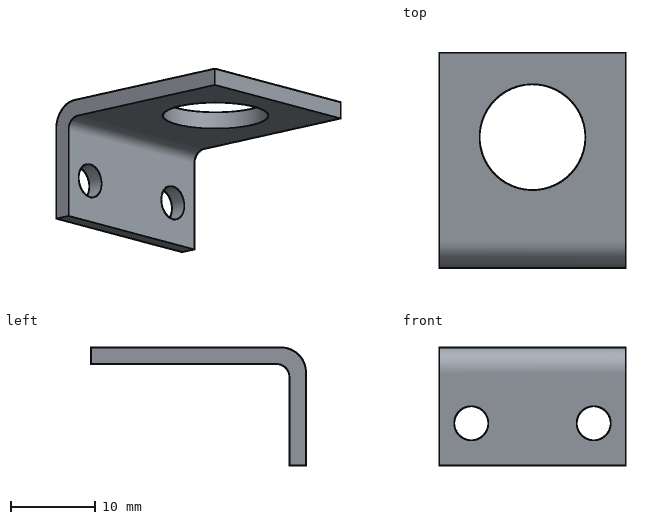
import cadquery as cq

width = 22.1
depth = 25.5
height = 14.0
thickness = 2.0

outer_bend_radius = 3.0
inner_bend_radius = 1.5

large_hole_diameter = 12.5
large_hole_from_back = 10.0

small_hole_diameter = 4.0
small_hole_spacing = 14.5
small_hole_from_bottom = 5.0

large_hole_y = depth - large_hole_from_back


def bent_plate():
    """L-shaped plate with a horizontal top leg and a vertical front leg, rounded at the bend."""
    profile = [
        (0, 0),
        (thickness, 0),
        (thickness, height - thickness),
        (depth, height - thickness),
        (depth, height),
        (0, height),
    ]
    plate = cq.Workplane("YZ").polyline(profile).close().extrude(width / 2, both=True)
    outer_corner = cq.NearestToPointSelector((0, 0, height))
    inner_corner = cq.NearestToPointSelector((0, thickness, height - thickness))
    plate = plate.edges("|X").edges(outer_corner).fillet(outer_bend_radius)
    return plate.edges("|X").edges(inner_corner).fillet(inner_bend_radius)


def large_hole():
    """Cutter for the hole through the horizontal leg."""
    return (
        cq.Workplane("XY", origin=(0, large_hole_y, height - thickness))
        .circle(large_hole_diameter / 2)
        .extrude(thickness)
    )


def small_holes():
    """Cutter for the two holes through the vertical leg."""
    centers = [(side * small_hole_spacing / 2, 0) for side in (-1, 1)]
    return (
        cq.Workplane("XZ", origin=(0, 0, small_hole_from_bottom))
        .pushPoints(centers)
        .circle(small_hole_diameter / 2)
        .extrude(-thickness)
    )


result = bent_plate().cut(large_hole()).cut(small_holes())